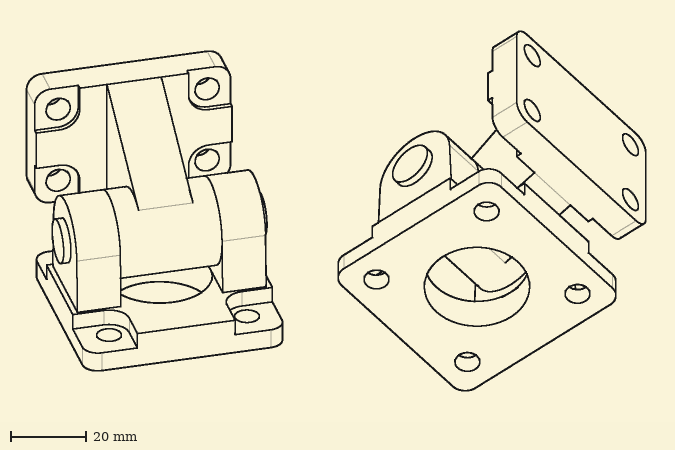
import cadquery as cq
import math


screw_hole_diameter = 6.6
plate_thickness = 10.0
corner_radius = 4.25
seat_radius = 5.5
barrel_radius = 12.0
trunnion_radius = barrel_radius / 2
pivot_height = 25.0

base_side = 55.0
base_hole_spacing = 38.0
base_seat_depth = 4.45
base_opening_diameter = 28.0
ear_gap = 28.0
ear_thickness = 12.0
ear_foot_half_width = 12.65

lever_top = 55.5
lever_plate_width = 54.0
lever_plate_height = 35.0
lever_hole_spacing_y = 41.0
lever_hole_spacing_z = 22.0
lever_seat_depth = 1.5
lever_back_x = base_side / 2 - 63.5
lever_front_x = lever_back_x + plate_thickness
lever_bottom = lever_top - lever_plate_height
rib_width = 15.0
trunnion_span = 56.0


def y_cylinder(radius, length):
    """Cylinder on the pivot axis, centred on Y = 0."""
    return (
        cq.Workplane("XZ", origin=(0, 0, pivot_height))
        .circle(radius)
        .extrude(length / 2, both=True)
    )


def mounting_plate(width, depth, spacing_x, spacing_y, seat_depth):
    """Plate rising from Z = 0 with four screw holes in seats sunk into its corners."""
    plate = (
        cq.Workplane("XY")
        .box(width, depth, plate_thickness, centered=(True, True, False))
        .edges("|Z")
        .fillet(corner_radius)
    )

    seat_floor = plate_thickness - seat_depth
    for side_x in (-1, 1):
        for side_y in (-1, 1):
            center_x = side_x * (spacing_x / 2 - seat_radius + width / 2)
            center_y = side_y * (spacing_y / 2 - seat_radius + depth / 2)
            seat = (
                cq.Workplane("XY", origin=(center_x, center_y, seat_floor))
                .rect(width, depth)
                .extrude(seat_depth)
                .edges("|Z")
                .fillet(seat_radius)
            )
            plate = plate.cut(seat)

    screw_holes = (
        cq.Workplane("XY")
        .rect(spacing_x, spacing_y, forConstruction=True)
        .vertices()
        .circle(screw_hole_diameter / 2)
        .extrude(plate_thickness)
    )
    return plate.cut(screw_holes)


def tangent_point(x, z, side):
    """Point where a line from (x, z) touches the barrel circle; z is relative to the pivot.

    side is 1 for the touch point counterclockwise of (x, z), -1 for the clockwise one.
    """
    angle = math.atan2(z, x) + side * math.acos(barrel_radius / math.hypot(x, z))
    return barrel_radius * math.cos(angle), barrel_radius * math.sin(angle)


def make_ear(center_y):
    """Upright ear: a round head with straight flanks that spread towards the foot."""
    foot_z = plate_thickness - pivot_height
    flank_x, flank_z = tangent_point(ear_foot_half_width, foot_z, 1)
    return (
        cq.Workplane("XZ", origin=(0, center_y, pivot_height))
        .moveTo(-ear_foot_half_width, foot_z)
        .lineTo(ear_foot_half_width, foot_z)
        .lineTo(flank_x, flank_z)
        .threePointArc((0, barrel_radius), (-flank_x, flank_z))
        .close()
        .extrude(ear_thickness / 2, both=True)
    )


def make_base():
    base = mounting_plate(base_side, base_side, base_hole_spacing, base_hole_spacing, base_seat_depth)
    opening = cq.Workplane("XY").circle(base_opening_diameter / 2).extrude(plate_thickness)
    base = base.cut(opening)
    for side in (-1, 1):
        base = base.union(make_ear(side * (ear_gap + ear_thickness) / 2))
    return base.cut(y_cylinder(trunnion_radius, trunnion_span))


def make_rib():
    """Web from the plate to the barrel, its upper and lower faces tangent to the barrel."""
    top_z = lever_top - pivot_height
    bottom_z = lever_bottom - pivot_height
    return (
        cq.Workplane("XZ", origin=(0, 0, pivot_height))
        .polyline([
            (lever_front_x, top_z),
            tangent_point(lever_front_x, top_z, -1),
            (0, 0),
            tangent_point(lever_front_x, bottom_z, 1),
            (lever_front_x, bottom_z),
        ])
        .close()
        .extrude(rib_width / 2, both=True)
    )


def make_lever():
    """Lever with its plate, rib, barrel and the two trunnions that turn in the ears."""
    plate = (
        mounting_plate(
            lever_plate_height,
            lever_plate_width,
            lever_hole_spacing_z,
            lever_hole_spacing_y,
            lever_seat_depth,
        )
        .rotate((0, 0, 0), (0, 1, 0), 90)
        .translate((lever_back_x, 0, (lever_top + lever_bottom) / 2))
    )
    barrel = y_cylinder(barrel_radius, ear_gap)
    trunnions = y_cylinder(trunnion_radius, trunnion_span)
    return plate.union(make_rib()).union(barrel).union(trunnions)


base = make_base()
lever = make_lever()

result = cq.Compound.makeCompound([base.val(), lever.val()])